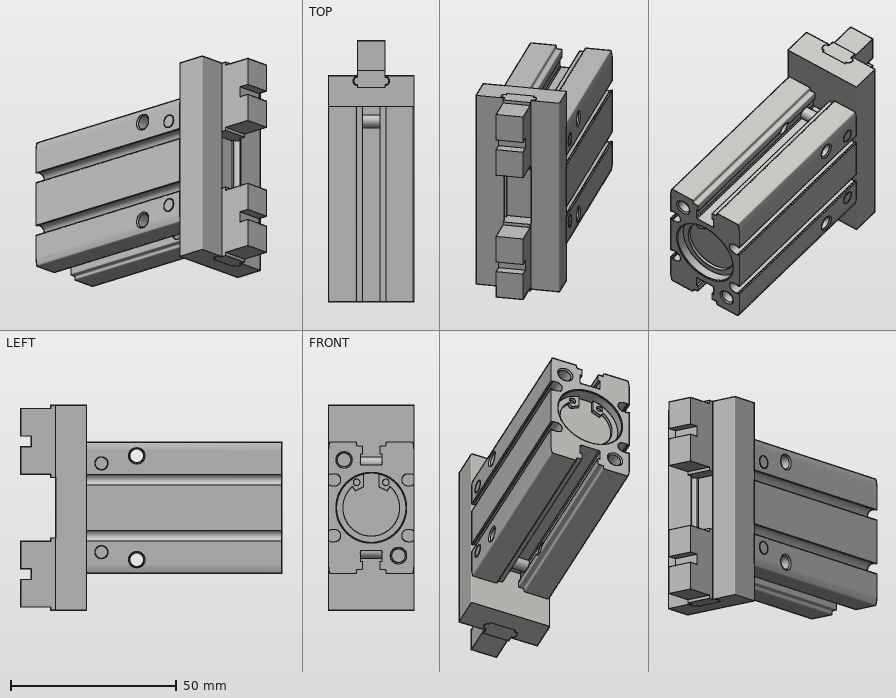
import cadquery as cq

overall_length = 79.2
width = 26.0

barrel_length = 59.2
barrel_height = 39.8
edge_flat_inset = 0.8
edge_crown_height = 2.5
edge_crown_inset = 0.35
edge_top_drop = 0.35

slot_mouth_width = 8.9
slot_mouth_depth = 1.2
slot_mouth_rounding = 0.45
slot_neck_width = 5.3
slot_neck_depth = 3.6
slot_neck_rounding = 0.3
slot_floor_width = 6.6
slot_floor_depth = 7.0
slot_floor_chamfer = 0.35

groove_z = 8.45
groove_diameter = 3.7
groove_depth = 3.75
groove_mouth_width = 3.2
groove_lip = 0.5

tap_diameter = 4.13
tap_mouth_diameter = 5.0
end_tap_x = 8.25
end_tap_z = 14.5
end_tap_depth = 10.0
side_tap_y = 44.0
side_tap_z = 15.75

pin_diameter = 4.0
pin_end_chamfer = 0.12
pin_y = 54.7
pin_z = 13.45

bore_diameter = 21.0
bore_mouth_diameter = 21.5
ring_recess = 3.0
ring_thickness = 1.0
ring_inner_diameter = 17.2
ring_gap = 4.6
ring_hole_diameter = 2.0
ring_hole_x = 4.45
ring_hole_z = 7.7
lug_inner_z = 6.35
lug_tip = (4.8, 5.15)
lug_shoulder = (5.65, 6.35)

head_length = 9.4
head_height = 62.2
head_rounding = 0.2
head_end = barrel_length + head_length

jaw_width = 8.4
guide_y = 66.95
guide_diameter = 2.35
guide_clearance = 0.12
channel_floor = 65.0
rail_height = 22.0
rail_end = 70.1
finger_height = 20.0
finger_notch = 3.2
jaw_z = (head_height - rail_height) / 2


def along_y(y):
    """Sketch plane seen from -Y (local x = X, local y = Z); it extrudes towards -Y."""
    return cq.Workplane("XZ", origin=(0, y, 0))


def countersinks(plane, points, hole_diameter, mouth_diameter, direction):
    """45-degree cones that narrow from the plane into the part, along direction (1 or -1) of its normal."""
    depth = (mouth_diameter - hole_diameter) / 2
    return plane.pushPoints(points).circle(mouth_diameter / 2).extrude(direction * depth, taper=45)


def barrel_blank():
    half_w = width / 2
    half_h = barrel_height / 2
    crown_radius = (edge_crown_inset**2 + edge_crown_height**2) / (2 * edge_crown_inset)
    quarter = (
        along_y(barrel_length)
        .moveTo(0, half_h)
        .lineTo(half_w - edge_flat_inset, half_h)
        .tangentArcPoint((half_w - edge_crown_inset, half_h - edge_top_drop), relative=False)
        .radiusArc((half_w, half_h - edge_crown_height), crown_radius)
        .lineTo(half_w, 0)
    )
    return quarter.mirrorX().mirrorY().extrude(barrel_length)


def mounting_slot(side):
    """One stepped slot, on the top (side = 1) or the bottom (side = -1)."""
    top = barrel_height / 2
    mouth_x = slot_mouth_width / 2
    mouth_z = top - slot_mouth_depth
    neck_x = slot_neck_width / 2
    neck_z = top - slot_neck_depth
    floor_x = slot_floor_width / 2
    floor_z = top - slot_floor_depth
    half = (
        along_y(barrel_length)
        .moveTo(0, top)
        .lineTo(mouth_x + slot_mouth_rounding, top)
        .radiusArc((mouth_x, top - slot_mouth_rounding), -slot_mouth_rounding)
        .lineTo(mouth_x, mouth_z + slot_mouth_rounding)
        .radiusArc((mouth_x - slot_mouth_rounding, mouth_z), slot_mouth_rounding)
        .lineTo(neck_x + slot_neck_rounding, mouth_z)
        .radiusArc((neck_x, mouth_z - slot_neck_rounding), -slot_neck_rounding)
        .lineTo(neck_x, neck_z)
        .lineTo(floor_x, neck_z)
        .lineTo(floor_x, floor_z + slot_floor_chamfer)
        .lineTo(floor_x - slot_floor_chamfer, floor_z)
        .lineTo(0, floor_z)
    )
    slot = half.mirrorY().extrude(barrel_length)
    return slot if side > 0 else slot.mirror("XY")


def sensor_groove(x_side, z):
    r = groove_diameter / 2
    centre_x = width / 2 - groove_depth + r
    lip_x = width / 2 - groove_lip
    mouth = groove_mouth_width / 2
    groove = (
        along_y(barrel_length)
        .moveTo(width / 2, mouth)
        .lineTo(lip_x, mouth)
        .lineTo(lip_x - (r - mouth), r)
        .lineTo(centre_x, r)
        .threePointArc((centre_x - r, 0), (centre_x, -r))
        .lineTo(lip_x - (r - mouth), -r)
        .lineTo(lip_x, -mouth)
        .lineTo(width / 2, -mouth)
        .close()
        .extrude(barrel_length)
    )
    if x_side < 0:
        groove = groove.mirror("YZ")
    return groove.translate((0, 0, z))


def end_taps():
    points = [(-end_tap_x, end_tap_z), (end_tap_x, -end_tap_z)]
    holes = along_y(0).pushPoints(points).circle(tap_diameter / 2).extrude(-end_tap_depth)
    return holes.union(countersinks(along_y(0), points, tap_diameter, tap_mouth_diameter, -1))


def side_taps():
    points = [(side_tap_y, side_tap_z), (side_tap_y, -side_tap_z)]
    holes = cq.Workplane("YZ").pushPoints(points).circle(tap_diameter / 2).extrude(width / 2, both=True)
    left = cq.Workplane("YZ", origin=(-width / 2, 0, 0))
    cones = countersinks(left, points, tap_diameter, tap_mouth_diameter, 1)
    return holes.union(cones).union(cones.mirror("YZ"))


def pin_bores():
    points = [(pin_y, pin_z), (pin_y, -pin_z)]
    return cq.Workplane("YZ").pushPoints(points).circle(pin_diameter / 2).extrude(width / 2, both=True)


def lever_pins():
    """Pins that fill the cross bores and end flush with the sides, with chamfered ends."""
    return pin_bores().faces("<X or >X").chamfer(pin_end_chamfer)


def bore():
    """Bore opening, down to the retaining ring."""
    hole = along_y(0).circle(bore_diameter / 2).extrude(-ring_recess)
    return hole.union(countersinks(along_y(0), [(0, 0)], bore_diameter, bore_mouth_diameter, -1))


def ring_opening():
    """Space inside the retaining ring: its inner circle, end gap and plier holes."""
    disc = along_y(ring_recess).circle(ring_inner_diameter / 2).extrude(-ring_thickness)
    lug_top = bore_diameter / 2
    for side in (-1, 1):
        lug = (
            along_y(ring_recess)
            .moveTo(0, lug_inner_z)
            .lineTo(side * ring_gap / 2, lug_inner_z)
            .lineTo(side * lug_tip[0], lug_tip[1])
            .lineTo(side * lug_shoulder[0], lug_shoulder[1])
            .lineTo(side * lug_shoulder[0], lug_top)
            .lineTo(0, lug_top)
            .close()
            .extrude(-ring_thickness)
        )
        disc = disc.cut(lug)
    gap_height = bore_diameter / 2 - lug_inner_z
    gap = (
        along_y(ring_recess)
        .center(0, lug_inner_z + gap_height / 2)
        .rect(ring_gap, gap_height)
        .extrude(-ring_thickness)
    )
    gap = gap.intersect(along_y(ring_recess).circle(bore_diameter / 2).extrude(-ring_thickness))
    holes = (
        along_y(ring_recess)
        .pushPoints([(-ring_hole_x, ring_hole_z), (ring_hole_x, ring_hole_z)])
        .circle(ring_hole_diameter / 2)
        .extrude(-ring_thickness)
    )
    return disc.union(gap).union(holes)


def guide_section(y_end, height, guide_d):
    """Jaw guide section: a flat bar with a half-round bead on each side."""
    bar = cq.Workplane("XY").box(jaw_width, y_end - channel_floor, height, centered=(True, False, True))
    bar = bar.translate((0, channel_floor, 0))
    beads = (
        cq.Workplane("XY", origin=(0, 0, -height / 2))
        .pushPoints([(-jaw_width / 2, guide_y), (jaw_width / 2, guide_y)])
        .circle(guide_d / 2)
        .extrude(height)
    )
    return bar.union(beads)


def make_housing():
    head = (
        cq.Workplane("XY")
        .box(width, head_length, head_height, centered=(True, False, True))
        .edges("|Z")
        .fillet(head_rounding)
        .translate((0, barrel_length, 0))
    )
    barrel = barrel_blank()
    for side in (-1, 1):
        barrel = barrel.cut(mounting_slot(side))
        for z in (-groove_z, groove_z):
            barrel = barrel.cut(sensor_groove(side, z))
    barrel = barrel.cut(end_taps()).cut(side_taps())
    barrel = barrel.cut(bore()).cut(ring_opening())
    barrel = barrel.cut(pin_bores()).union(lever_pins())
    channel = guide_section(head_end, head_height, guide_diameter + 2 * guide_clearance)
    return barrel.union(head).cut(channel)


def make_jaw(z):
    rail = guide_section(rail_end, rail_height, guide_diameter)
    finger_length = overall_length - rail_end
    finger = cq.Workplane("XY").box(jaw_width, finger_length, finger_height, centered=(True, False, True))
    notch = cq.Workplane("XY").box(jaw_width, finger_notch, finger_notch, centered=(True, False, True))
    finger = finger.translate((0, rail_end, 0)).cut(notch.translate((0, overall_length - finger_notch, 0)))
    return rail.union(finger).translate((0, 0, z))


housing = make_housing()
jaws = [make_jaw(z) for z in (-jaw_z, jaw_z)]
result = cq.Compound.makeCompound([housing.val()] + [jaw.val() for jaw in jaws])